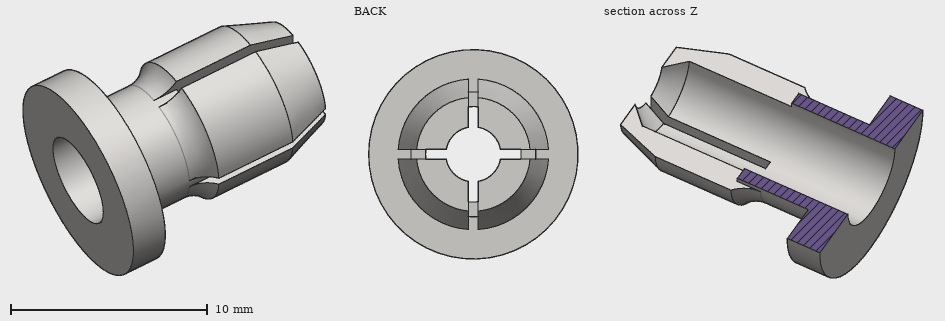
import cadquery as cq
import math

total_length = 13.02
flange_thickness = 1.91
flare_start = 4.69
flare_end = 6.04
taper_start = 10.47

flange_radius = 5.33
neck_radius = 3.18
barrel_radius = 3.83
tip_radius = 2.89
bore_radius = 2.42
tip_bore_radius = 1.39
bore_taper_start = total_length - (bore_radius - tip_bore_radius)
slot_width = 0.5


def flare_midpoint():
    """Point (radius, Y) halfway along the flare arc, which leaves the neck tangentially."""
    rise = barrel_radius - neck_radius
    run = flare_end - flare_start
    arc_radius = (rise**2 + run**2) / (2 * rise)
    half_angle = math.asin(run / arc_radius) / 2
    return (
        neck_radius + arc_radius * (1 - math.cos(half_angle)),
        flare_start + arc_radius * math.sin(half_angle),
    )


def revolve_about_y(profile):
    return profile.close().revolve(360, (0, 0, 0), (0, 1, 0))


def make_body():
    """Flange, neck, flare, barrel and tapered tip around a bore that narrows at the tip."""
    profile = (
        cq.Workplane("XY")
        .moveTo(bore_radius, 0)
        .lineTo(flange_radius, 0)
        .lineTo(flange_radius, flange_thickness)
        .lineTo(neck_radius, flange_thickness)
        .lineTo(neck_radius, flare_start)
        .threePointArc(flare_midpoint(), (barrel_radius, flare_end))
        .lineTo(barrel_radius, taper_start)
        .lineTo(tip_radius, total_length)
        .lineTo(tip_bore_radius, total_length)
        .lineTo(bore_radius, bore_taper_start)
    )
    return revolve_about_y(profile)


def make_cross(start, end):
    """Two crossed slabs spanning the barrel, from Y = start to Y = end."""
    span = 2 * barrel_radius
    length = end - start
    middle = (0, (start + end) / 2, 0)
    flat = cq.Workplane("XY").box(span, length, slot_width).translate(middle)
    upright = cq.Workplane("XY").box(slot_width, length, span).translate(middle)
    return flat.union(upright)


def make_neck_core():
    """Cylinder of neck size reaching through the flare, left whole under the slots."""
    length = flare_end - flare_start
    return cq.Workplane("XZ", origin=(0, flare_start, 0)).circle(neck_radius).extrude(-length)


through_slots = make_cross(flare_end, total_length)
flare_slots = make_cross(flare_start, flare_end).cut(make_neck_core())

result = make_body().cut(through_slots).cut(flare_slots)